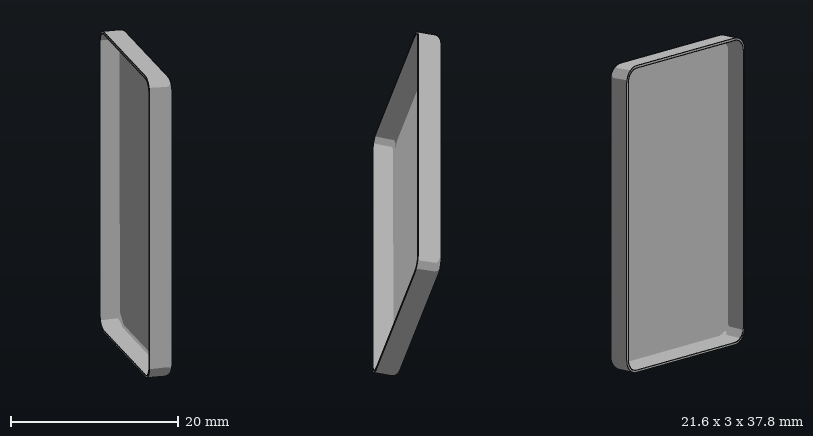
import cadquery as cq

width = 21.6
depth = 3.0
height = 37.8
wall = 0.3
corner_radius = 1.8
back_edge_radius = 0.8

inner_corner_radius = corner_radius - wall
floor_edge_radius = back_edge_radius - wall


def rounded_block(size_x, size_y, size_z, upright_radius, back_radius):
    """Block with its front face at Y = 0, rounded corners and a rounded back edge."""
    block = cq.Workplane("XY").box(size_x, size_y, size_z, centered=(True, False, True))
    return block.edges("|Y").fillet(upright_radius).faces(">Y").edges().fillet(back_radius)


shell = rounded_block(width, depth, height, corner_radius, back_edge_radius)
cavity = rounded_block(
    width - 2 * wall, depth - wall, height - 2 * wall, inner_corner_radius, floor_edge_radius
)
result = shell.cut(cavity)